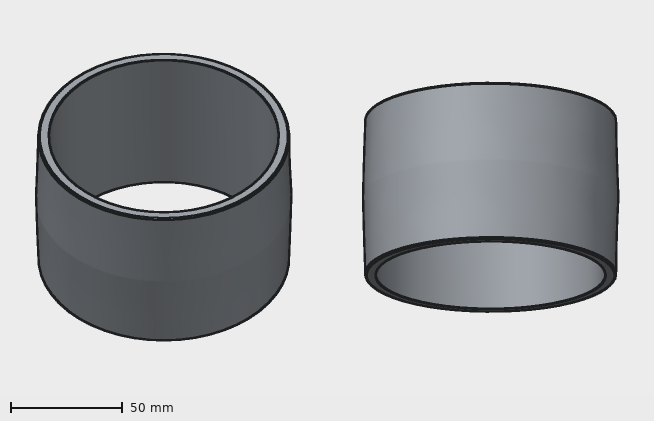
import cadquery as cq

outer_diameter = 114.3
end_diameter = 112.2
bore_diameter = 102.5
height = 73.0
edge_chamfer = 0.7
bore_chamfer = 0.2

band_width = 0.5

outer_radius = outer_diameter / 2
end_radius = end_diameter / 2
bore_radius = bore_diameter / 2
half_height = height / 2
shoulder_height = half_height - edge_chamfer
half_band = band_width / 2


def tapered_sleeve():
    """Revolve a sleeve that tapers from mid-height to both chamfered rims."""
    profile = (
        cq.Workplane("XZ")
        .moveTo(bore_radius, -half_height + bore_chamfer)
        .lineTo(bore_radius + bore_chamfer, -half_height)
        .lineTo(end_radius - edge_chamfer, -half_height)
        .lineTo(end_radius, -shoulder_height)
        .lineTo(outer_radius, -half_band)
        .lineTo(outer_radius, half_band)
        .lineTo(end_radius, shoulder_height)
        .lineTo(end_radius - edge_chamfer, half_height)
        .lineTo(bore_radius + bore_chamfer, half_height)
        .lineTo(bore_radius, half_height - bore_chamfer)
        .close()
    )
    return profile.revolve(360, (0, 0, 0), (0, 1, 0))


result = tapered_sleeve()